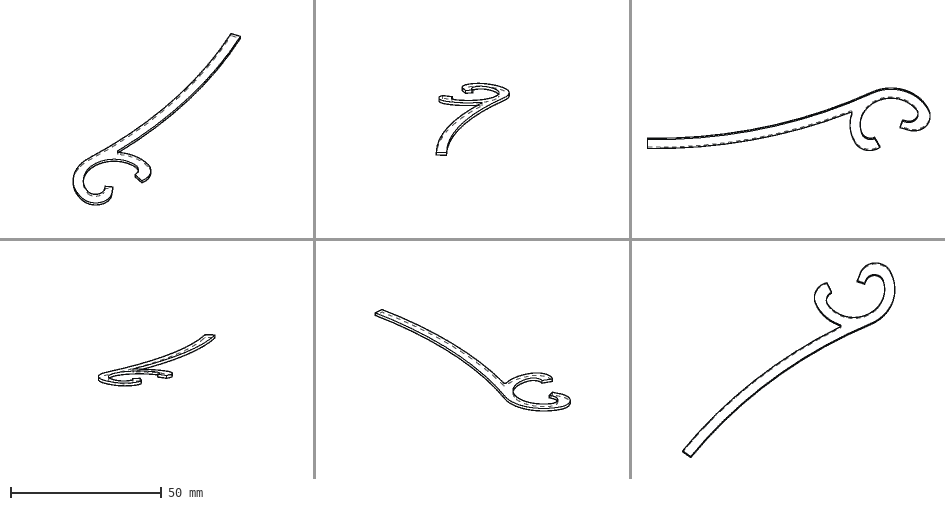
import cadquery as cq
import math

thickness = 1.0
wall = 3.4
hook_outer_radius = 13.7
hook_inner_radius = hook_outer_radius - wall
arm_inner_radius = 156.1
arm_tilt = 0.6
arm_outer_radius = arm_inner_radius + wall
arm_top = 90.0 - hook_outer_radius
notch_radius = 0.45

outer_curl_radius = 5.4
outer_curl_x = 0.5
inner_curl_radius = 3.1
inner_curl_x = -1.0
lower_tip_length = 1.2


def on_circle(center, radius, degrees):
    angle = math.radians(degrees)
    return (center[0] + radius * math.cos(angle), center[1] + radius * math.sin(angle))


def curl_center(main_radius, curl_radius, x):
    """Centre of an upper curl arc that touches the main circle from inside."""
    return (x, math.sqrt((main_radius - curl_radius) ** 2 - x ** 2))


def mirrored(point):
    return (point[0], -point[1])


def make_hook():
    origin = (0, 0)
    outer_top = curl_center(hook_outer_radius, outer_curl_radius, outer_curl_x)
    inner_top = curl_center(hook_inner_radius, inner_curl_radius, inner_curl_x)
    outer_bottom = mirrored(outer_top)
    inner_bottom = mirrored(inner_top)

    outer_join = math.degrees(math.atan2(outer_top[1], outer_top[0]))
    inner_join = math.degrees(math.atan2(inner_top[1], inner_top[0]))

    upper_cut = math.degrees(math.asin((inner_top[1] - outer_top[1]) / outer_curl_radius))

    tip_angle = 45
    slope = math.sqrt(0.5)
    inner_tip_start = on_circle(inner_bottom, inner_curl_radius, tip_angle)
    outer_tip_start = on_circle(outer_bottom, outer_curl_radius, tip_angle)
    inner_tip = (
        inner_tip_start[0] - lower_tip_length * slope,
        inner_tip_start[1] + lower_tip_length * slope,
    )
    tip_width = sum(b - a for a, b in zip(inner_tip_start, outer_tip_start)) * slope
    outer_tip = (inner_tip[0] + tip_width * slope, inner_tip[1] + tip_width * slope)

    return (
        cq.Workplane("XY")
        .moveTo(*on_circle(outer_top, outer_curl_radius, upper_cut))
        .threePointArc(
            on_circle(outer_top, outer_curl_radius, (upper_cut + outer_join) / 2),
            on_circle(origin, hook_outer_radius, outer_join),
        )
        .threePointArc((-hook_outer_radius, 0), on_circle(origin, hook_outer_radius, -outer_join))
        .threePointArc(
            on_circle(outer_bottom, outer_curl_radius, (tip_angle - outer_join) / 2),
            outer_tip_start,
        )
        .lineTo(*outer_tip)
        .lineTo(*inner_tip)
        .lineTo(*inner_tip_start)
        .threePointArc(
            on_circle(inner_bottom, inner_curl_radius, (tip_angle - inner_join) / 2),
            on_circle(origin, hook_inner_radius, -inner_join),
        )
        .threePointArc((-hook_inner_radius, 0), on_circle(origin, hook_inner_radius, inner_join))
        .threePointArc(
            on_circle(inner_top, inner_curl_radius, inner_join / 2),
            on_circle(inner_top, inner_curl_radius, 0),
        )
        .close()
        .extrude(thickness)
    )


arm_center_distance = hook_outer_radius + arm_inner_radius
arm_center = on_circle((0, 0), arm_center_distance, 180 - arm_tilt)


def make_arm():
    end_angle = math.degrees(math.asin((arm_top - arm_center[1]) / arm_outer_radius))
    return (
        cq.Workplane("XY")
        .moveTo(*on_circle(arm_center, arm_inner_radius, -arm_tilt))
        .lineTo(*on_circle(arm_center, arm_outer_radius, -arm_tilt))
        .threePointArc(
            on_circle(arm_center, arm_outer_radius, end_angle / 2),
            on_circle(arm_center, arm_outer_radius, end_angle),
        )
        .lineTo(*on_circle(arm_center, arm_inner_radius, end_angle))
        .threePointArc(
            on_circle(arm_center, arm_inner_radius, end_angle / 2),
            on_circle(arm_center, arm_inner_radius, -arm_tilt),
        )
        .close()
        .extrude(thickness)
    )


def notch_point():
    """Upper crossing of the arm's convex edge and the outer circle of the C."""
    cosine = (hook_outer_radius ** 2 + arm_center_distance ** 2 - arm_outer_radius ** 2) / (
        2 * hook_outer_radius * arm_center_distance
    )
    angle_from_arm = math.degrees(math.acos(cosine))
    return on_circle((0, 0), hook_outer_radius, 180 - arm_tilt - angle_from_arm)


body = make_arm().union(make_hook())
notch_edge = cq.NearestToPointSelector((*notch_point(), thickness / 2))
result = body.edges("|Z").edges(notch_edge).fillet(notch_radius)